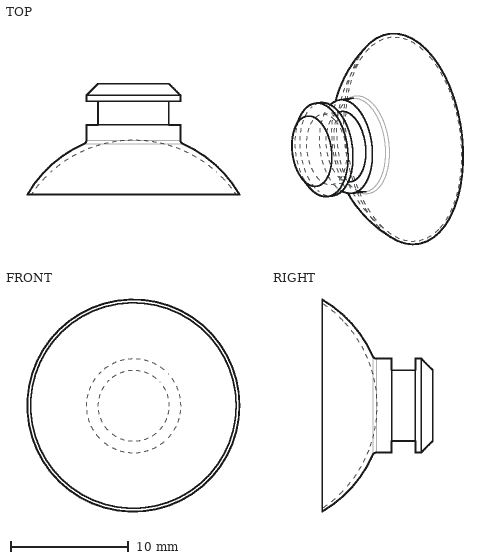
import cadquery as cq
import math

mouth_radius = 9.0
lip_width = 0.29
outer_sphere_radius = 10.4
inner_sphere_radius = 10.5

total_height = 9.4
stem_radius = 4.0
neck_radius = 3.0
collar_top = 5.9
head_bottom = 7.9
head_chamfer = stem_radius - neck_radius
root_fillet = 0.3


def sphere_center(sphere_radius, rim_radius):
    """Y of a sphere center on the axis whose sphere meets Y = 0 at the rim."""
    return -math.sqrt(sphere_radius**2 - rim_radius**2)


def sphere_height(sphere_radius, rim_radius, radius):
    """Y of the dome surface at a distance from the axis."""
    return sphere_center(sphere_radius, rim_radius) + math.sqrt(sphere_radius**2 - radius**2)


inner_rim_radius = mouth_radius - lip_width


def outer_point(radius):
    return (radius, sphere_height(outer_sphere_radius, mouth_radius, radius))


def inner_point(radius):
    return (radius, sphere_height(inner_sphere_radius, inner_rim_radius, radius))


fillet_x = stem_radius + root_fillet
dome_center_y = sphere_center(outer_sphere_radius, mouth_radius)
fillet_y = dome_center_y + math.sqrt((outer_sphere_radius + root_fillet) ** 2 - fillet_x**2)
fillet_dome_radius = fillet_x * outer_sphere_radius / (outer_sphere_radius + root_fillet)
fillet_end = outer_point(fillet_dome_radius)
dome_angle = math.atan2(fillet_end[1] - fillet_y, fillet_end[0] - fillet_x) % (2 * math.pi)
middle_angle = (math.pi + dome_angle) / 2
fillet_middle = (
    fillet_x + root_fillet * math.cos(middle_angle),
    fillet_y + root_fillet * math.sin(middle_angle),
)

profile = (
    cq.Workplane("XY")
    .moveTo(*inner_point(0))
    .threePointArc(inner_point(inner_rim_radius / 2), (inner_rim_radius, 0))
    .lineTo(mouth_radius, 0)
    .threePointArc(outer_point((mouth_radius + fillet_dome_radius) / 2), fillet_end)
    .threePointArc(fillet_middle, (stem_radius, fillet_y))
    .lineTo(stem_radius, collar_top)
    .lineTo(neck_radius, collar_top)
    .lineTo(neck_radius, head_bottom)
    .lineTo(stem_radius, head_bottom)
    .lineTo(stem_radius, total_height - head_chamfer)
    .lineTo(stem_radius - head_chamfer, total_height)
    .lineTo(0, total_height)
    .close()
)

result = profile.revolve(360, (0, 0, 0), (0, 1, 0))